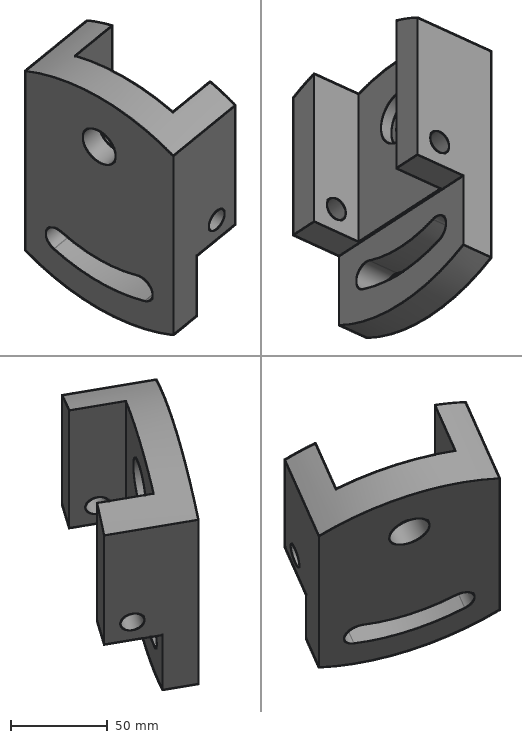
import cadquery as cq
import math

width = 100.0
depth = 50.0
height = 150.0
end_radius = 115.0

plate_thickness = 20.0
lower_plate_thickness = 19.0
arm_thickness = 17.0
arm_bottom_z = -21.0

pivot_diameter = 22.2
counterbore_diameter = 30.0
counterbore_floor_y = 13.0
pivot_z = end_radius - height / 2

slot_radius = 88.0
slot_width = 16.0
slot_half_angle = math.radians(18.6)

cross_hole_diameter = 12.7
cross_hole_y = 35.0
cross_hole_z = -7.0


def box_between(x_range, y_range, z_range):
    """Axis-aligned box spanning the given (low, high) ranges."""
    spans = (x_range, y_range, z_range)
    sizes = [high - low for low, high in spans]
    corner = tuple(low for low, high in spans)
    return cq.Workplane("XY").box(*sizes, centered=False).translate(corner)


def front_sketch_plane():
    """XZ plane on the front face; negative extrusion runs into the part, toward +Y."""
    return cq.Workplane(cq.Plane(origin=(0, 0, 0), xDir=(1, 0, 0), normal=(0, -1, 0)))


def rounded_blank():
    """Full-depth block with straight sides and arched top and bottom."""
    half_width = width / 2
    half_height = height / 2
    sagitta = end_radius - math.sqrt(end_radius**2 - half_width**2)
    corner_z = half_height - sagitta
    return (
        front_sketch_plane()
        .moveTo(-half_width, -corner_z)
        .threePointArc((0, -half_height), (half_width, -corner_z))
        .lineTo(half_width, corner_z)
        .threePointArc((0, half_height), (-half_width, corner_z))
        .close()
        .extrude(-depth)
    )


def channel():
    """Open space between the two arms, behind the plate."""
    half_gap = width / 2 - arm_thickness
    return box_between((-half_gap, half_gap), (plate_thickness, depth), (arm_bottom_z, height / 2))


def lower_clearance():
    """Space below the arms, leaving only the thinner lower plate."""
    return box_between(
        (-width / 2, width / 2), (lower_plate_thickness, depth), (-height / 2, arm_bottom_z)
    )


def pivot_hole():
    """Through hole with a wider counterbore sunk from the rear of the plate."""
    bore = front_sketch_plane().center(0, pivot_z).circle(pivot_diameter / 2).extrude(-depth)
    counterbore = (
        front_sketch_plane()
        .center(0, pivot_z)
        .circle(counterbore_diameter / 2)
        .extrude(-(depth - counterbore_floor_y))
        .translate((0, counterbore_floor_y, 0))
    )
    return bore.union(counterbore)


def curved_slot():
    """Arc slot about the pivot, with rounded ends."""

    def below_pivot(radius, angle):
        return (radius * math.sin(angle), pivot_z - radius * math.cos(angle))

    inner_radius = slot_radius - slot_width / 2
    outer_radius = slot_radius + slot_width / 2
    cap_x, cap_z = below_pivot(slot_radius, slot_half_angle)
    cap_mid_x = cap_x + slot_width / 2 * math.cos(slot_half_angle)
    cap_mid_z = cap_z + slot_width / 2 * math.sin(slot_half_angle)
    return (
        front_sketch_plane()
        .moveTo(*below_pivot(inner_radius, -slot_half_angle))
        .threePointArc(below_pivot(inner_radius, 0), below_pivot(inner_radius, slot_half_angle))
        .threePointArc((cap_mid_x, cap_mid_z), below_pivot(outer_radius, slot_half_angle))
        .threePointArc(below_pivot(outer_radius, 0), below_pivot(outer_radius, -slot_half_angle))
        .threePointArc((-cap_mid_x, cap_mid_z), below_pivot(inner_radius, -slot_half_angle))
        .close()
        .extrude(-depth)
    )


def cross_hole():
    return (
        cq.Workplane("YZ", origin=(-width / 2, 0, 0))
        .center(cross_hole_y, cross_hole_z)
        .circle(cross_hole_diameter / 2)
        .extrude(width)
    )


result = rounded_blank()
for cutter in (channel(), lower_clearance(), pivot_hole(), curved_slot(), cross_hole()):
    result = result.cut(cutter)